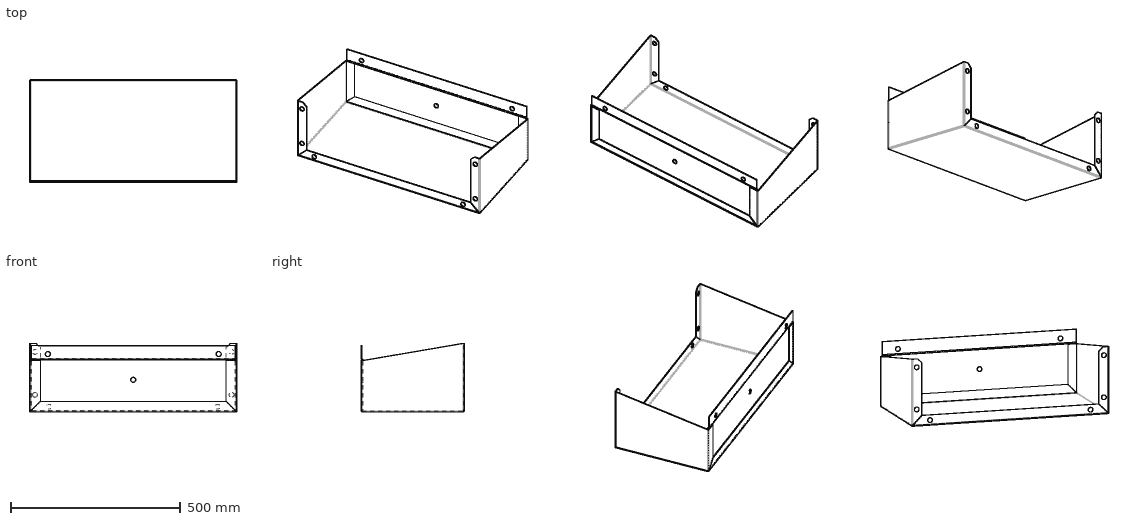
import cadquery as cq
import math

width = 612.77
depth = 304.8
back_height = 203.2
front_height = 152.4
sheet = 3.04
bend_inner = 0.8
bend_outer = sheet + bend_inner
flange_width = 31.75
flange_chamfer = 12.7
mitre_gap = 0.6
hole_diameter = 14.29

back_hole_inset = flange_width / 2
back_side_hole_heights = (50.8, back_height - 25.4)
back_bottom_hole_inset = 57.15

panel_side_gap = 2.2
panel_floor_gap = 2.0
panel_top = 196.5
joggle_top = 156.6
panel_upper_hole_inset = 54.0
panel_upper_hole_height = 171.5
panel_center_hole_height = 95.25


def box_between(x_range, y_range, z_range):
    """Box that spans the given (low, high) ranges."""
    size = [high - low for low, high in (x_range, y_range, z_range)]
    return cq.Workplane("XY").box(*size, centered=False).translate((x_range[0], y_range[0], z_range[0]))


def holes_along_y(points, y_range):
    """Round cutters along Y at the (x, z) points."""
    y_low, y_high = y_range
    return (
        cq.Workplane("XZ", origin=(0, y_low, 0))
        .pushPoints(points)
        .circle(hole_diameter / 2)
        .extrude(y_low - y_high)
    )


def folded_shell():
    """Floor and four full-height walls of one sheet, rounded at every bend."""
    outside = (
        box_between((0, width), (0, depth), (0, back_height))
        .edges("|Z or <Z")
        .fillet(bend_outer)
    )
    inside = (
        box_between((sheet, width - sheet), (sheet, depth - sheet), (sheet, back_height + sheet))
        .edges("|Z or <Z")
        .fillet(bend_inner)
    )
    return outside.cut(inside)


def slope_cutter():
    """Space above the side walls, which fall from the back flanges to the front flanges."""
    return (
        cq.Workplane("YZ")
        .moveTo(0, front_height)
        .lineTo(bend_outer, front_height)
        .lineTo(depth - bend_outer, back_height)
        .lineTo(depth - bend_outer, back_height + sheet)
        .lineTo(0, back_height + sheet)
        .close()
        .extrude(width)
    )


def flange_opening(y_range):
    """Opening that leaves two side flanges and a bottom flange on a front or back wall."""
    return box_between(
        (flange_width, width - flange_width), y_range, (flange_width, back_height + sheet)
    )


def mitre_slits(y_range):
    """45 degree slits from the inner flange corners out to the bends."""
    y_low, y_high = y_range
    reach = flange_width - bend_outer
    center = (flange_width + bend_outer) / 2
    slits = []
    for x, angle in ((center, -45), (width - center, 45)):
        slit = (
            cq.Workplane("XY")
            .box(reach * math.sqrt(2), y_high - y_low, mitre_gap)
            .rotate((0, 0, 0), (0, 1, 0), angle)
            .translate((x, (y_low + y_high) / 2, center))
        )
        slits.append(slit)
    return slits


def chamfer_cutter(corner_x, inward):
    """Wedge off the inner top corner of a back side flange; inward is the X direction to mid width."""
    return (
        cq.Workplane("XZ", origin=(0, depth - sheet, 0))
        .moveTo(corner_x, back_height)
        .lineTo(corner_x - inward * flange_chamfer, back_height)
        .lineTo(corner_x, back_height - flange_chamfer)
        .close()
        .extrude(-sheet)
    )


def make_tray():
    front_wall = (0, sheet)
    back_wall = (depth - sheet, depth)
    tray = folded_shell().cut(slope_cutter())
    for wall in (front_wall, back_wall):
        tray = tray.cut(flange_opening(wall))
        for slit in mitre_slits(wall):
            tray = tray.cut(slit)
    tray = tray.cut(chamfer_cutter(flange_width, 1))
    tray = tray.cut(chamfer_cutter(width - flange_width, -1))
    back_holes = [
        (x, z) for x in (back_hole_inset, width - back_hole_inset) for z in back_side_hole_heights
    ]
    back_holes += [
        (x, back_hole_inset) for x in (back_bottom_hole_inset, width - back_bottom_hole_inset)
    ]
    return tray.cut(holes_along_y(back_holes, back_wall))


def make_front_panel():
    """Plate behind the front flanges whose upper strip steps forward, flush with them."""
    joggle_bottom = joggle_top - sheet
    bend_shift = sheet * math.tan(math.radians(22.5))
    left = sheet + panel_side_gap
    bottom = sheet + panel_floor_gap
    panel = (
        cq.Workplane("YZ", origin=(left, 0, 0))
        .moveTo(sheet, bottom)
        .lineTo(2 * sheet, bottom)
        .lineTo(2 * sheet, joggle_bottom + bend_shift)
        .lineTo(sheet, joggle_top + bend_shift)
        .lineTo(sheet, panel_top)
        .lineTo(0, panel_top)
        .lineTo(0, joggle_top)
        .lineTo(sheet, joggle_bottom)
        .close()
        .extrude(width - 2 * left)
    )
    holes = [
        (panel_upper_hole_inset, panel_upper_hole_height),
        (width - panel_upper_hole_inset, panel_upper_hole_height),
        (width / 2, panel_center_hole_height),
    ]
    return panel.cut(holes_along_y(holes, (0, 2 * sheet)))


tray = make_tray()
front_panel = make_front_panel()
result = cq.Compound.makeCompound([tray.val(), front_panel.val()])